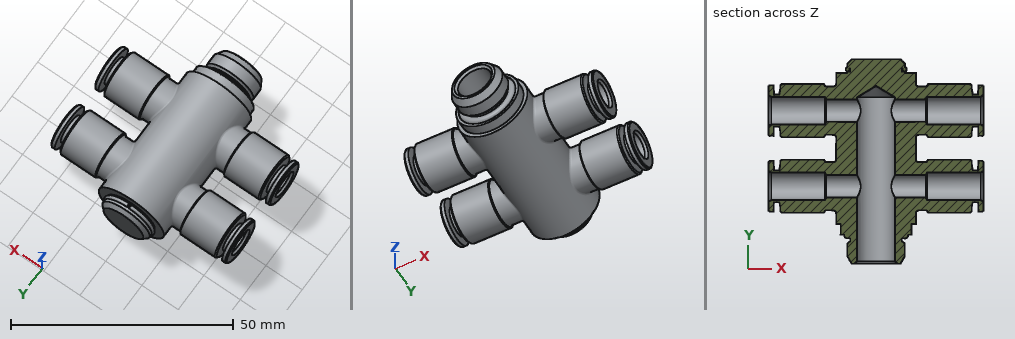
import cadquery as cq
import math


overall_width = 48.4
overall_length = 46.1

body_diameter = 18.0
body_length = 34.03
port_spacing = body_length / 2
port_blend_radius = 0.5

stud_length = 8.95
flange_diameter = 16.0
flange_thickness = 2.4
seal_diameter = 14.5
seal_radius = 0.8
relief_diameter = 11.6
thread_diameter = 13.0
thread_start = 4.6
relief_taper_length = 0.6
tip_diameter = 11.0
tip_chamfer_angle = 60.0

bore_diameter = 8.5
bore_mouth_diameter = 9.7
bore_overrun = 0.5
drill_point_angle = 118.0

plug_diameter = 13.05
plug_end_diameter = 11.0
ring_diameter = 13.85
ring_section_radius = 0.51
ring_offset = 0.8
ring_gap = 0.5
groove_diameter = 11.6
groove_start = 0.3
groove_width = 0.7

collar_diameter = 11.5
collar_thickness = 1.15
collar_edge_chamfer = 0.3
collar_rear_taper = 0.15
neck_diameter = 7.3
sleeve_diameter = 12.0
sleeve_start = 2.6
sleeve_end = 12.7
sleeve_front_chamfer = 0.35
sleeve_lip_diameter = 9.7
sleeve_lip_height = 0.2
sleeve_rear_chamfer = 0.25
branch_diameter = 11.0
tube_bore_diameter = 6.15
tube_mouth_diameter = 6.9
tube_mouth_length = 0.7
tube_seat_depth = sleeve_end
tube_seat_length = 0.35
passage_diameter = 5.0

body_front = -body_length / 2
body_rear = body_length / 2
front_end = body_front - stud_length
rear_end = front_end + overall_length
port_positions = (-port_spacing / 2, port_spacing / 2)


def revolve_about_y(profile):
    """Turn a closed (radius, y) profile about the Y axis."""
    return profile.close().revolve(360, (0, 0, 0), (0, 1, 0))


def quarter_arc_middle(center_x, center_y, radius, sign_x, sign_y):
    """Middle point of a quarter arc, in the quadrant given by the two signs."""
    reach = radius * math.sqrt(0.5)
    return center_x + sign_x * reach, center_y + sign_y * reach


def make_manifold():
    """Stud, flange, seal, body and rear plug as one turned shape."""
    tip_chamfer_radial = (thread_diameter - tip_diameter) / 2
    tip_chamfer_length = tip_chamfer_radial * math.tan(math.radians(tip_chamfer_angle))
    flange_front = body_front - flange_thickness
    seal_center = seal_diameter / 2 - seal_radius
    plug_chamfer = (plug_diameter - plug_end_diameter) / 2
    groove_front = body_rear + groove_start
    profile = (
        cq.Workplane("XY")
        .moveTo(0, front_end)
        .lineTo(tip_diameter / 2, front_end)
        .lineTo(thread_diameter / 2, front_end + tip_chamfer_length)
        .lineTo(thread_diameter / 2, front_end + thread_start)
        .lineTo(relief_diameter / 2, front_end + thread_start + relief_taper_length)
        .lineTo(relief_diameter / 2, flange_front - seal_radius)
        .lineTo(seal_center, flange_front - seal_radius)
        .threePointArc(
            quarter_arc_middle(seal_center, flange_front, seal_radius, 1, -1),
            (seal_diameter / 2, flange_front),
        )
        .lineTo(flange_diameter / 2, flange_front)
        .lineTo(flange_diameter / 2, body_front)
        .lineTo(body_diameter / 2, body_front)
        .lineTo(body_diameter / 2, body_rear)
        .lineTo(plug_diameter / 2, body_rear)
        .lineTo(plug_diameter / 2, groove_front)
        .lineTo(groove_diameter / 2, groove_front)
        .lineTo(groove_diameter / 2, groove_front + groove_width)
        .lineTo(plug_diameter / 2, groove_front + groove_width)
        .lineTo(plug_diameter / 2, rear_end - plug_chamfer)
        .lineTo(plug_end_diameter / 2, rear_end)
        .lineTo(0, rear_end)
    )
    return revolve_about_y(profile)


def make_snap_ring():
    """Round-wire ring seated in the plug groove, split at the top."""
    ring_y = body_rear + ring_offset
    wire_center = ring_diameter / 2 - ring_section_radius
    section_plane = cq.Plane(origin=(wire_center, ring_y, 0), xDir=(-1, 0, 0), normal=(0, 0, 1))
    ring = (
        cq.Workplane(section_plane)
        .circle(ring_section_radius)
        .revolve(360, (wire_center, 0, 0), (wire_center, 1, 0))
    )
    split = (
        cq.Workplane("XY")
        .box(ring_gap, 2 * ring_section_radius, ring_diameter, centered=(True, True, False))
        .translate((0, ring_y, 0))
    )
    return ring.cut(split)


def make_main_bore():
    """Blind drilled bore reaching just past the rear ports, with a chamfered mouth."""
    radius = bore_diameter / 2
    mouth_chamfer = (bore_mouth_diameter - bore_diameter) / 2
    bore_end = port_positions[-1] + passage_diameter / 2 + bore_overrun
    point_length = radius / math.tan(math.radians(drill_point_angle / 2))
    profile = (
        cq.Workplane("XY")
        .moveTo(0, front_end)
        .lineTo(bore_mouth_diameter / 2, front_end)
        .lineTo(radius, front_end + mouth_chamfer)
        .lineTo(radius, bore_end)
        .lineTo(0, bore_end + point_length)
    )
    return revolve_about_y(profile)


def make_branch():
    """Plain round branch of the left port, from the sleeve to the body axis."""
    return (
        cq.Workplane("YZ")
        .workplane(offset=sleeve_end - overall_width / 2)
        .circle(branch_diameter / 2)
        .extrude(overall_width / 2 - sleeve_end)
    )


def make_port_head():
    """Release collar, neck and lipped sleeve of the left port, turned about X at y = 0."""
    outer_end = -overall_width / 2
    sleeve_front = outer_end + sleeve_start
    sleeve_rear = outer_end + sleeve_end
    sleeve_radius = sleeve_diameter / 2
    branch_radius = branch_diameter / 2
    blend_radius = sleeve_radius - sleeve_rear_chamfer - branch_radius
    blend_center = (sleeve_rear + blend_radius, branch_radius + blend_radius)
    return (
        cq.Workplane("XY")
        .moveTo(outer_end, 0)
        .lineTo(outer_end, collar_diameter / 2 - collar_edge_chamfer)
        .lineTo(outer_end + collar_edge_chamfer, collar_diameter / 2)
        .lineTo(outer_end + collar_thickness, collar_diameter / 2)
        .lineTo(outer_end + collar_thickness + collar_rear_taper, neck_diameter / 2)
        .lineTo(sleeve_front - sleeve_lip_height, neck_diameter / 2)
        .lineTo(sleeve_front, sleeve_lip_diameter / 2)
        .lineTo(sleeve_front, sleeve_radius - sleeve_front_chamfer)
        .lineTo(sleeve_front + sleeve_front_chamfer, sleeve_radius)
        .lineTo(sleeve_rear - sleeve_rear_chamfer, sleeve_radius)
        .lineTo(sleeve_rear, sleeve_radius - sleeve_rear_chamfer)
        .threePointArc(
            quarter_arc_middle(*blend_center, blend_radius, -1, -1),
            (sleeve_rear + blend_radius, branch_radius),
        )
        .lineTo(sleeve_rear + blend_radius, 0)
        .close()
        .revolve(360, (0, 0, 0), (1, 0, 0))
    )


def make_port_bore():
    """Left port's tube socket with flared mouth and tapered seat, then the narrower passage."""
    outer_end = -overall_width / 2
    seat_start = outer_end + tube_seat_depth
    return (
        cq.Workplane("XY")
        .moveTo(outer_end, 0)
        .lineTo(outer_end, tube_mouth_diameter / 2)
        .lineTo(outer_end + tube_mouth_length, tube_bore_diameter / 2)
        .lineTo(seat_start, tube_bore_diameter / 2)
        .lineTo(seat_start + tube_seat_length, passage_diameter / 2)
        .lineTo(0, passage_diameter / 2)
        .lineTo(0, 0)
        .close()
        .revolve(360, (0, 0, 0), (1, 0, 0))
    )


def place_port(left_shape, y, side):
    """Move a left port shape to its position, mirrored for the right side."""
    shape = left_shape if side < 0 else left_shape.mirror("YZ")
    return shape.translate((0, y, 0))


ports = [(y, side) for y in port_positions for side in (-1, 1)]

result = make_manifold()
left_branch = make_branch()
for y, side in ports:
    result = result.union(place_port(left_branch, y, side))
result = result.edges("not(%CIRCLE or %LINE)").fillet(port_blend_radius)

left_head = make_port_head()
for y, side in ports:
    result = result.union(place_port(left_head, y, side))
result = result.union(make_snap_ring())

result = result.cut(make_main_bore())
left_bore = make_port_bore()
for y, side in ports:
    result = result.cut(place_port(left_bore, y, side))